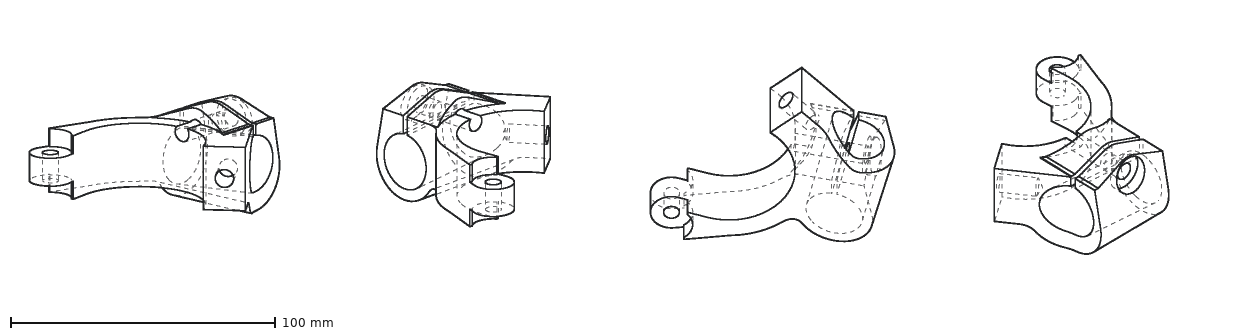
import cadquery as cq
import math


BODY_HEIGHT = 25.0
MAIN_BORE_RADIUS = 25.0
RING_RADIUS = 32.9
LUG_WIDTH = 16.0
LUG_ANGLE = 10.0
LUG_HOLE_DIAMETER = 7.0
LUG_HOLE_DEPTH = 15.0
DRILL_TIP_ANGLE = 118.0

HINGE_OFFSET = 35.0
HINGE_RADIUS = 8.0
HINGE_HOLE_DIAMETER = 6.0
HINGE_HEIGHT = 11.0
ARM_SLOPE = 45.0
RELIEF_LENGTH = 3.8
RELIEF_WIDTH = 1.0

CLAMP_ANGLE = 25.0
CLAMP_LEFT = -17.4
CLAMP_RIGHT = 18.6
CLAMP_BORE_V = 45.0
CLAMP_BORE_Z = -5.9
CLAMP_BORE_RADIUS = 11.0
CLAMP_BORE_RISE = 5.0
CLAMP_RADIUS = 15.0
CLAMP_BOTTOM = -21.5
CLAMP_FACE_TILT = 11.0
CLAMP_ARM_FILLET = 9.0
CLAMP_LUG_FILLET = 7.0
CLAMP_BASE_FILLET = 6.0
SLOT_WIDTH = 2.0

RIDGE_FLANK_ANGLE = 20.4
RIDGE_CREST_HALF_WIDTH = 3.4
RIDGE_SHOULDER_U = 16.7

SCREW_Z = 10.4
SCREW_HOLE_RADIUS = 3.4
SCREW_HEAD_RADIUS = 7.3
SCREW_SEAT_V = 53.5

BODY_TOP = BODY_HEIGHT / 2
CLAMP_AXIS_Z = CLAMP_BOTTOM + CLAMP_RADIUS
CLAMP_FAR_V = CLAMP_BORE_V + CLAMP_RADIUS
RIDGE_FLANK_SLOPE = math.tan(math.radians(RIDGE_FLANK_ANGLE))
RIDGE_CREST_Z = BODY_TOP + (-CLAMP_LEFT - RIDGE_CREST_HALF_WIDTH) * RIDGE_FLANK_SLOPE
RIDGE_TOP = RIDGE_CREST_Z + RIDGE_CREST_HALF_WIDTH * math.tan(math.radians(RIDGE_FLANK_ANGLE / 2))
REACH = 100.0


def polar(radius, angle, center=(0.0, 0.0)):
    """Point at a radius and an angle in degrees around a centre."""
    a = math.radians(angle)
    return (center[0] + radius * math.cos(a), center[1] + radius * math.sin(a))


def from_clamp(u, v):
    """XY position of a point given in the clamp frame."""
    a = math.radians(CLAMP_ANGLE)
    return (u * math.cos(a) + v * math.sin(a), v * math.cos(a) - u * math.sin(a))


def angle_of(point):
    return math.degrees(math.atan2(point[1], point[0]))


def turn_to_clamp(solid):
    """Turn a solid modelled with u along X and v along Y into place."""
    return solid.rotate((0, 0, 0), (0, 0, 1), -CLAMP_ANGLE)


def along_u(profile, u_start, u_end):
    """Extrude a (v, z) profile drawn on the YZ plane between two u positions."""
    return turn_to_clamp(profile.extrude(u_end - u_start).translate((u_start, 0, 0)))


def rod_along_v(radius, v_start, v_end):
    """Cylinder on the screw axis between two v positions."""
    rod = cq.Workplane("XZ", origin=(0, v_start, SCREW_Z)).circle(radius).extrude(v_start - v_end)
    return turn_to_clamp(rod)


HINGE_CENTER = (-HINGE_OFFSET, 0.0)
INNER_TANGENT_ANGLE = math.degrees(math.acos((MAIN_BORE_RADIUS + HINGE_RADIUS) / HINGE_OFFSET))
INNER_ARM_POINT = polar(HINGE_RADIUS, -INNER_TANGENT_ANGLE, HINGE_CENTER)
OUTER_NORMAL_ANGLE = 90.0 + ARM_SLOPE
OUTER_ARM_POINT = polar(HINGE_RADIUS, OUTER_NORMAL_ANGLE, HINGE_CENTER)


def plan():
    """Full-height prism of the outline seen along Z."""
    bore_end = polar(MAIN_BORE_RADIUS, 180 - INNER_TANGENT_ANGLE)

    edge_distance = HINGE_OFFSET * math.sin(math.radians(ARM_SLOPE)) + HINGE_RADIUS
    ring_start_angle = OUTER_NORMAL_ANGLE + math.degrees(math.acos(edge_distance / RING_RADIUS))

    fillet_u = CLAMP_LEFT - CLAMP_ARM_FILLET
    fillet_v = math.sqrt((RING_RADIUS + CLAMP_ARM_FILLET) ** 2 - fillet_u ** 2)
    fillet_center = from_clamp(fillet_u, fillet_v)
    ring_end_angle = angle_of(fillet_center)
    fillet_middle_angle = (ring_end_angle - 180 - CLAMP_ANGLE) / 2

    lug_corner = polar(LUG_WIDTH, LUG_ANGLE, (MAIN_BORE_RADIUS, 0))
    lug_distance = MAIN_BORE_RADIUS * math.cos(math.radians(LUG_ANGLE)) + LUG_WIDTH
    turn = math.radians(CLAMP_ANGLE + LUG_ANGLE)
    meeting_v = (lug_distance - CLAMP_RIGHT * math.cos(turn)) / math.sin(turn)
    lug_fillet_v = meeting_v + CLAMP_LUG_FILLET * math.tan(turn / 2)
    lug_fillet_center = from_clamp(CLAMP_RIGHT + CLAMP_LUG_FILLET, lug_fillet_v)
    lug_fillet_middle_angle = 180 + (LUG_ANGLE - CLAMP_ANGLE) / 2

    outline = (
        cq.Workplane("XY", origin=(0, 0, CLAMP_BOTTOM))
        .moveTo(MAIN_BORE_RADIUS, 0)
        .threePointArc((0, MAIN_BORE_RADIUS), bore_end)
        .lineTo(*INNER_ARM_POINT)
        .threePointArc(polar(HINGE_RADIUS, -90, HINGE_CENTER), OUTER_ARM_POINT)
        .lineTo(*polar(RING_RADIUS, ring_start_angle))
        .threePointArc(
            polar(RING_RADIUS, (ring_start_angle + ring_end_angle) / 2),
            polar(RING_RADIUS, ring_end_angle),
        )
        .threePointArc(
            polar(CLAMP_ARM_FILLET, fillet_middle_angle, fillet_center),
            from_clamp(CLAMP_LEFT, fillet_v),
        )
        .lineTo(*from_clamp(CLAMP_LEFT, CLAMP_FAR_V))
        .lineTo(*from_clamp(CLAMP_RIGHT, CLAMP_FAR_V))
        .lineTo(*from_clamp(CLAMP_RIGHT, lug_fillet_v))
        .threePointArc(
            polar(CLAMP_LUG_FILLET, lug_fillet_middle_angle, lug_fillet_center),
            polar(CLAMP_LUG_FILLET, 180 + LUG_ANGLE, lug_fillet_center),
        )
        .lineTo(*lug_corner)
        .close()
    )
    return outline.extrude(RIDGE_TOP - CLAMP_BOTTOM)


def side_profile(top):
    """(v, z) profile of body and clamp, closed at a given top height."""
    axis = (CLAMP_BORE_V, CLAMP_AXIS_Z)

    fillet_z = -BODY_TOP - CLAMP_BASE_FILLET
    rise = CLAMP_AXIS_Z - fillet_z
    fillet_v = CLAMP_BORE_V - math.sqrt((CLAMP_RADIUS + CLAMP_BASE_FILLET) ** 2 - rise ** 2)
    fillet_center = (fillet_v, fillet_z)
    contact_angle = math.degrees(math.atan2(rise, CLAMP_BORE_V - fillet_v))
    fillet_middle_angle = (90 + contact_angle) / 2

    tilt = math.radians(CLAMP_FACE_TILT)
    face_start = polar(CLAMP_RADIUS, CLAMP_FACE_TILT, axis)
    face_top_v = face_start[0] - (top - face_start[1]) * math.tan(tilt)

    return (
        cq.Workplane("YZ")
        .moveTo(-REACH, -BODY_TOP)
        .lineTo(fillet_v, -BODY_TOP)
        .threePointArc(
            polar(CLAMP_BASE_FILLET, fillet_middle_angle, fillet_center),
            polar(CLAMP_BASE_FILLET, contact_angle, fillet_center),
        )
        .threePointArc(polar(CLAMP_RADIUS, -90, axis), face_start)
        .lineTo(face_top_v, top)
        .lineTo(-REACH, top)
        .close()
    )


def ridge():
    """Roof-shaped ridge on top of the clamp, cut back to the ring radius."""
    shoulder_z = RIDGE_CREST_Z - (RIDGE_SHOULDER_U - RIDGE_CREST_HALF_WIDTH) * RIDGE_FLANK_SLOPE
    roof = (
        cq.Workplane("XZ")
        .moveTo(CLAMP_LEFT, 0)
        .lineTo(CLAMP_LEFT, BODY_TOP)
        .lineTo(-RIDGE_CREST_HALF_WIDTH, RIDGE_CREST_Z)
        .threePointArc((0, RIDGE_TOP), (RIDGE_CREST_HALF_WIDTH, RIDGE_CREST_Z))
        .lineTo(RIDGE_SHOULDER_U, shoulder_z)
        .lineTo(CLAMP_RIGHT, shoulder_z)
        .lineTo(CLAMP_RIGHT, 0)
        .close()
        .extrude(-CLAMP_FAR_V)
    )
    ring = cq.Workplane("XY").circle(RING_RADIUS).extrude(REACH)
    sides = along_u(side_profile(RIDGE_TOP), -REACH, REACH)
    return turn_to_clamp(roof).intersect(sides).intersect(plan()).cut(ring)


def hinge_relief():
    """Cutter that clears the arm around the hinge, down to the hinge knuckle."""
    def edge_strip(start, direction, inward):
        along = polar(RELIEF_LENGTH, direction, start)
        return (
            cq.Workplane("XY")
            .polyline([
                start,
                along,
                polar(RELIEF_WIDTH, inward, along),
                HINGE_CENTER,
            ])
            .close()
            .extrude(BODY_TOP)
        )

    cutter = cq.Workplane("XY").center(*HINGE_CENTER).circle(HINGE_RADIUS).extrude(BODY_TOP)
    cutter = cutter.union(edge_strip(OUTER_ARM_POINT, ARM_SLOPE, ARM_SLOPE - 90))
    inner_direction = 90 - INNER_TANGENT_ANGLE
    cutter = cutter.union(edge_strip(INNER_ARM_POINT, inner_direction, inner_direction + 90))
    upper = cutter.translate((0, 0, HINGE_HEIGHT / 2))
    return upper.union(upper.mirror("XY"))


def hinge_hole():
    return (
        cq.Workplane("XY", origin=(*HINGE_CENTER, -BODY_TOP))
        .circle(HINGE_HOLE_DIAMETER / 2)
        .extrude(BODY_HEIGHT)
    )


def clamp_bore():
    """Through bore that rises towards the right side of the clamp."""
    bore = (
        cq.Workplane("YZ")
        .circle(CLAMP_BORE_RADIUS)
        .extrude(REACH, both=True)
        .rotate((0, 0, 0), (0, 1, 0), -CLAMP_BORE_RISE)
        .translate((CLAMP_LEFT, CLAMP_BORE_V, CLAMP_BORE_Z))
    )
    return turn_to_clamp(bore)


def clamp_slot():
    """Slit from the clamp bore up through the ridge."""
    height = RIDGE_TOP - CLAMP_BORE_Z
    slit = cq.Workplane("YZ").center(CLAMP_BORE_V, CLAMP_BORE_Z + height / 2).rect(SLOT_WIDTH, height)
    return along_u(slit, -REACH, REACH)


def screw_hole():
    """Clamp screw hole into the main bore, with a counterbore from the far face."""
    hole = rod_along_v(SCREW_HOLE_RADIUS, 0, CLAMP_FAR_V)
    return hole.union(rod_along_v(SCREW_HEAD_RADIUS, SCREW_SEAT_V, CLAMP_FAR_V))


def lug_hole():
    """Blind drilled hole with a conical tip, square to the end face of the lug."""
    radius = LUG_HOLE_DIAMETER / 2
    tip = radius / math.tan(math.radians(DRILL_TIP_ANGLE / 2))
    drill = (
        cq.Workplane("XY")
        .polyline([(0, 0), (radius, 0), (radius, LUG_HOLE_DEPTH), (0, LUG_HOLE_DEPTH + tip)])
        .close()
        .revolve(360, (0, 0), (0, 1))
    )
    position = polar(LUG_WIDTH / 2, LUG_ANGLE, (MAIN_BORE_RADIUS, 0))
    return drill.rotate((0, 0, 0), (0, 0, 1), LUG_ANGLE).translate((*position, 0))


body = plan().intersect(along_u(side_profile(BODY_TOP), -REACH, REACH)).union(ridge())
for cutter in (hinge_relief(), hinge_hole(), clamp_bore(), clamp_slot(), screw_hole(), lug_hole()):
    body = body.cut(cutter)

result = body